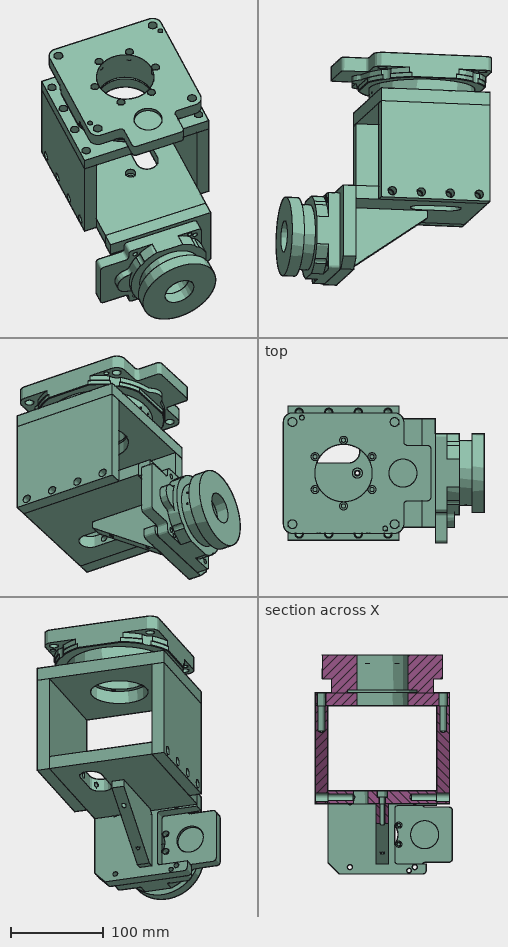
import cadquery as cq
import math

RIGHT = (1, 0, 0)
LEFT = (-1, 0, 0)
BACK = (0, 1, 0)
FORWARD = (0, -1, 0)
DOWN = (0, 0, -1)

wall = 14.2
side_wall = 14.0
box_length = 120.0
box_width = 145.0
box_height = 119.7
inner_width = box_width - 2 * side_wall
side_height = box_height - wall

screw_pitch = 31.9
screw_xs = [screw_pitch * (i - 1.5) for i in range(4)]
screw_clearance_radius = 4.5
screw_thread_radius = 3.5
screw_thread_depth = 27.1
drill_point_half_angle = math.radians(59)

slot_length = 55.5
slot_width = 24.3
slot_center_x = -10.5
slot_center_y = 23.1

bottom_plate_end = 84.7
front_plate_end = bottom_plate_end + wall
gusset_thickness = 13.7
gusset_start = -4.7
gusset_start_height = 7.8
gusset_toe = 7.8
gusset_bottom = -64.7
gusset_corner = 4.5

gusset_head_radius = 5.5
gusset_head_depth = 7.0
gusset_clearance_radius = 3.0
gusset_thread_radius = 2.4
gusset_top_screw_x = 14.9
gusset_front_screw_z = -51.7
gusset_front_thread_depth = 24.8

small_axis_z = -33.3
small_half = 42.5
small_corner_radius = 4.2
small_screw_offset = 35.0
small_screw_radius = 2.5
small_dowel_along = 28.8
small_dowel_across = 38.7
small_dowel_radius = 2.4
small_bore_radius = 16.8

front_plate_bottom = small_axis_z - small_half
front_plate_arm_end = -47.5
front_plate_chamfer = 12.0
window_edge = -13.5
window_top = -2.1
window_radius = 2.8

small_plate_thickness = 12.7
small_flange_thickness = 13.0
small_ring_thickness = 13.7
adapter_radius = 42.5
adapter_thickness = 13.2

large_plate_thickness = 15.0
large_upper_step = 5.7
large_lower_step = 5.2
large_ring_thickness = 14.6
large_bore_radius = 31.0

tongue_width = 59.7
tongue_radius = 4.0
motor_recess_radius = 15.0
motor_recess_depth = 3.8
lug_fillet = 5.0
mark_offset = 7.0
mark_radius = 0.83
mark_depth = 2.4
bolt_count = 6
bolt_head_depth = 9.5

pick_margin = 1.2


def block(x_range, y_range, z_range):
    """Box between the given limits."""
    size = [high - low for low, high in (x_range, y_range, z_range)]
    return cq.Workplane("XY").box(*size, centered=False).translate((x_range[0], y_range[0], z_range[0]))


def rod(start, direction, radius, length):
    """Cylinder from a start point along a direction."""
    return cq.Workplane(cq.Solid.makeCylinder(radius, length, cq.Vector(start), cq.Vector(direction)))


def drill(start, direction, radius, depth):
    """Blind drilled hole with a conical point."""
    point_length = radius / math.tan(drill_point_half_angle)
    point_start = cq.Vector(start) + cq.Vector(direction) * depth
    point = cq.Solid.makeCone(radius, 0, point_length, point_start, cq.Vector(direction))
    return rod(start, direction, radius, depth).union(cq.Workplane(point))


def counterbore(start, direction):
    """Counterbored gusset screw hole through one wall."""
    head = rod(start, direction, gusset_head_radius, gusset_head_depth)
    return head.union(rod(start, direction, gusset_clearance_radius, wall))


def diagonal_pair(along, across):
    """Two points opposite each other about the stage axis."""
    return [(along, -across), (-along, across)]


def make_top_plate():
    """Roof of the box, with the stage bore and two rows of screw holes."""
    plate = block(
        (-box_length / 2, box_length / 2), (-box_width / 2, box_width / 2), (side_height, box_height)
    )
    plate = plate.cut(rod((0, 0, box_height), DOWN, large_bore_radius, wall))
    row_y = (box_width - side_wall) / 2
    for x in screw_xs:
        for y in (-row_y, row_y):
            plate = plate.cut(rod((x, y, box_height), DOWN, screw_clearance_radius, wall))
    return plate


def make_side_plate(side):
    """Side wall; side is -1 for the -Y wall and +1 for the +Y wall."""
    inner_y = side * inner_width / 2
    outer_y = side * box_width / 2
    plate = block((-box_length / 2, box_length / 2), sorted((inner_y, outer_y)), (0, side_height))
    inward = FORWARD if side > 0 else BACK
    for x in screw_xs:
        top_point = (x, (inner_y + outer_y) / 2, side_height)
        plate = plate.cut(drill(top_point, DOWN, screw_thread_radius, screw_thread_depth))
        plate = plate.cut(rod((x, outer_y, wall / 2), inward, screw_clearance_radius, side_wall))
    return plate


def make_bottom_plate():
    """Floor between the side walls, running out to the front plate."""
    plate = block((-box_length / 2, bottom_plate_end), (-inner_width / 2, inner_width / 2), (0, wall))
    slot = (
        cq.Workplane("XY")
        .center(slot_center_x, slot_center_y)
        .slot2D(slot_length, slot_width)
        .extrude(wall)
    )
    plate = plate.cut(slot)
    for x in screw_xs:
        for side, inward in ((-1, BACK), (1, FORWARD)):
            edge_point = (x, side * inner_width / 2, wall / 2)
            plate = plate.cut(drill(edge_point, inward, screw_thread_radius, screw_thread_depth))
    return plate.cut(counterbore((gusset_top_screw_x, 0, wall), DOWN))


def make_front_plate():
    """Upright plate that carries the small stage, with an open window for its tongue."""
    half = inner_width / 2
    plate = (
        cq.Workplane("YZ", origin=(bottom_plate_end, 0, 0))
        .moveTo(-half, wall)
        .lineTo(half, wall)
        .lineTo(half, front_plate_bottom + front_plate_chamfer)
        .lineTo(half - front_plate_chamfer, front_plate_bottom)
        .lineTo(front_plate_arm_end + small_corner_radius, front_plate_bottom)
        .radiusArc(
            (front_plate_arm_end, front_plate_bottom + small_corner_radius), small_corner_radius
        )
        .lineTo(front_plate_arm_end, gusset_bottom)
        .lineTo(window_edge, gusset_bottom)
        .lineTo(window_edge, window_top)
        .lineTo(-half, window_top)
        .close()
        .extrude(wall)
    )
    window_corners = cq.selectors.BoxSelector(
        (bottom_plate_end, window_edge - pick_margin, gusset_bottom - pick_margin),
        (front_plate_end, window_edge + pick_margin, window_top + pick_margin),
    )
    plate = plate.edges("|X").edges(window_corners).fillet(window_radius)

    for y in (-small_screw_offset, small_screw_offset):
        for dz in (-small_screw_offset, small_screw_offset):
            hole = rod((bottom_plate_end, y, small_axis_z + dz), RIGHT, small_screw_radius, wall)
            plate = plate.cut(hole)
    for y, dz in diagonal_pair(small_dowel_along, -small_dowel_across):
        hole = rod((bottom_plate_end, y, small_axis_z + dz), RIGHT, small_dowel_radius, wall)
        plate = plate.cut(hole)
    return plate.cut(counterbore((front_plate_end, 0, gusset_front_screw_z), LEFT))


def make_gusset():
    """Triangular rib under the bottom plate, screwed from above and from the front."""
    gusset = (
        cq.Workplane("XZ", origin=(0, gusset_thickness / 2, 0))
        .moveTo(gusset_start, 0)
        .lineTo(bottom_plate_end - gusset_corner, 0)
        .lineTo(bottom_plate_end, -gusset_corner)
        .lineTo(bottom_plate_end, gusset_bottom)
        .lineTo(bottom_plate_end - gusset_toe, gusset_bottom)
        .lineTo(gusset_start, -gusset_start_height)
        .close()
        .extrude(gusset_thickness)
    )
    gusset = gusset.cut(rod((gusset_top_screw_x, 0, 0), DOWN, gusset_thread_radius, -gusset_bottom))
    front_point = (bottom_plate_end, 0, gusset_front_screw_z)
    return gusset.cut(drill(front_point, LEFT, gusset_thread_radius, gusset_front_thread_depth))


def make_stage_plate(half, corner_radius, tongue_reach, thickness):
    """Square mounting plate with rounded corners and a tongue along +X."""
    square = cq.Workplane("XY").rect(2 * half, 2 * half).extrude(-thickness)
    square = square.edges("|Z").fillet(corner_radius)
    tongue = block((0, tongue_reach), (-tongue_width / 2, tongue_width / 2), (-thickness, 0))
    plate = square.union(tongue.edges("|Z and >X").fillet(tongue_radius))
    root_corners = cq.selectors.BoxSelector(
        (half - pick_margin, -tongue_width / 2 - pick_margin, -thickness),
        (half + pick_margin, tongue_width / 2 + pick_margin, 0),
    )
    return plate.edges("|Z").edges(root_corners).fillet(tongue_radius)


def make_stage_flange(half, top, steps, edge_chamfer):
    """Round flange trimmed to the plate square, except where its top step lies under the tongue."""
    flange = cq.Workplane("XY")
    limit_x = steps[0][0]
    for radius, thickness in steps:
        step = rod((0, 0, top), DOWN, radius, thickness)
        flange = flange.union(
            step.intersect(block((-half, limit_x), (-half, half), (top - thickness, top)))
        )
        top -= thickness
        limit_x = half
    if edge_chamfer > 0:
        flange = flange.faces("<Z").chamfer(edge_chamfer)
    return flange


def make_motor_lug(half, top, flange_radius, motor_x, radius, thickness):
    """Round lug under the tongue, blended into the flange."""
    reach = motor_x + radius
    lug = rod((0, 0, top), DOWN, flange_radius, thickness)
    lug = lug.union(rod((motor_x, 0, top), DOWN, radius, thickness))
    lug_corners = cq.selectors.BoxSelector(
        (half - 2 * lug_fillet, -2 * radius, top - thickness), (reach, 2 * radius, top)
    )
    lug = lug.edges("|Z").edges(lug_corners).fillet(lug_fillet)
    return lug.intersect(block((0, reach), (-half, half), (top - thickness, top)))


def make_stage(
    half,
    corner_radius,
    tongue_reach,
    plate_thickness,
    flange_steps,
    flange_chamfer,
    motor_x,
    lug_radius,
    lug_thickness,
    ring_radius,
    ring_thickness,
    bore_radius,
    mount_offset,
    mount_radius,
    notch_radius,
    dowel_along,
    dowel_across,
    dowel_radius,
    bolt_circle_radius,
    bolt_head_radius,
    bolt_radius,
):
    """Rotary stage with its mounting face at Z = 0, its body below and its tongue along +X.

    flange_steps lists the (radius, thickness) of each step of the round flange under the plate.
    """
    flange_radius = flange_steps[0][0]
    flange_thickness = sum(thickness for _, thickness in flange_steps)
    ring_top = -plate_thickness - flange_thickness
    total_height = ring_thickness - ring_top

    stage = make_stage_plate(half, corner_radius, tongue_reach, plate_thickness)
    stage = stage.union(make_stage_flange(half, -plate_thickness, flange_steps, flange_chamfer))
    stage = stage.union(
        make_motor_lug(half, -plate_thickness, flange_radius, motor_x, lug_radius, lug_thickness)
    )

    for x in (-mount_offset, mount_offset):
        for y in (-mount_offset, mount_offset):
            stage = stage.cut(rod((x, y, -plate_thickness), DOWN, notch_radius, flange_thickness))
            stage = stage.cut(rod((x, y, 0), DOWN, mount_radius, plate_thickness))

    stage = stage.union(rod((0, 0, ring_top), DOWN, ring_radius, ring_thickness))
    mark_x = math.sqrt(ring_radius**2 - mark_offset**2) - mark_depth
    for y in (-mark_offset, mark_offset):
        mark_start = (mark_x, y, ring_top - ring_thickness / 2)
        stage = stage.cut(rod(mark_start, RIGHT, mark_radius, 2 * mark_depth))

    stage = stage.cut(rod((0, 0, 0), DOWN, bore_radius, total_height))
    stage = stage.cut(rod((motor_x, 0, 0), DOWN, motor_recess_radius, motor_recess_depth))

    for x, y in diagonal_pair(dowel_along, dowel_across):
        stage = stage.cut(rod((x, y, 0), DOWN, dowel_radius, -ring_top))

    for i in range(bolt_count):
        angle = 2 * math.pi * (i + 0.5) / bolt_count
        x = bolt_circle_radius * math.cos(angle)
        y = bolt_circle_radius * math.sin(angle)
        stage = stage.cut(rod((x, y, 0), DOWN, bolt_head_radius, bolt_head_depth))
        stage = stage.cut(rod((x, y, 0), DOWN, bolt_radius, total_height))
    return stage


def make_large_stage():
    """Stage on top of the box, with a shallow relief in the face that sits on it."""
    relief_radius = 40.1
    relief_depth = 2.5
    height = large_plate_thickness + large_upper_step + large_lower_step + large_ring_thickness
    stage = make_stage(
        half=65.0,
        corner_radius=10.0,
        tongue_reach=94.2,
        plate_thickness=large_plate_thickness,
        flange_steps=[(70.3, large_upper_step), (69.5, large_lower_step)],
        flange_chamfer=0.7,
        motor_x=64.0,
        lug_radius=12.7,
        lug_thickness=large_upper_step,
        ring_radius=57.0,
        ring_thickness=large_ring_thickness,
        bore_radius=large_bore_radius,
        mount_offset=55.0,
        mount_radius=4.7,
        notch_radius=10.0,
        dowel_along=44.8,
        dowel_across=59.7,
        dowel_radius=2.5,
        bolt_circle_radius=35.5,
        bolt_head_radius=4.2,
        bolt_radius=2.4,
    )
    stage = stage.cut(rod((0, 0, relief_depth - height), DOWN, relief_radius, relief_depth))
    return stage.translate((0, 0, box_height + height))


def make_small_stage():
    """Stage on the front plate, turned so that its tongue points along -Y."""
    stage = make_stage(
        half=small_half,
        corner_radius=small_corner_radius,
        tongue_reach=75.5,
        plate_thickness=small_plate_thickness,
        flange_steps=[(45.0, small_flange_thickness)],
        flange_chamfer=0,
        motor_x=45.5,
        lug_radius=13.2,
        lug_thickness=8.0,
        ring_radius=35.2,
        ring_thickness=small_ring_thickness,
        bore_radius=small_bore_radius,
        mount_offset=small_screw_offset,
        mount_radius=small_screw_radius,
        notch_radius=5.5,
        dowel_along=small_dowel_along,
        dowel_across=small_dowel_across,
        dowel_radius=small_dowel_radius,
        bolt_circle_radius=20.5,
        bolt_head_radius=3.3,
        bolt_radius=1.77,
    )
    seat = cq.Plane(origin=(front_plate_end, 0, small_axis_z), xDir=FORWARD, normal=LEFT)
    return cq.Workplane(stage.val().moved(cq.Location(seat)))


def make_adapter_disc():
    """Disc on the turning ring of the small stage, with the bore carried through."""
    ring_end = front_plate_end + small_plate_thickness + small_flange_thickness + small_ring_thickness
    disc = rod((ring_end, 0, small_axis_z), RIGHT, adapter_radius, adapter_thickness)
    return disc.cut(rod((ring_end, 0, small_axis_z), RIGHT, small_bore_radius, adapter_thickness))


top_plate = make_top_plate()
side_plates = [make_side_plate(side) for side in (-1, 1)]
bottom_plate = make_bottom_plate()
front_plate = make_front_plate()
gusset = make_gusset()
large_stage = make_large_stage()
small_stage = make_small_stage()
adapter_disc = make_adapter_disc()

result = cq.Compound.makeCompound([
    top_plate.solids().val(),
    *[plate.solids().val() for plate in side_plates],
    bottom_plate.solids().val(),
    front_plate.solids().val(),
    gusset.solids().val(),
    large_stage.solids().val(),
    small_stage.solids().val(),
    adapter_disc.solids().val(),
])